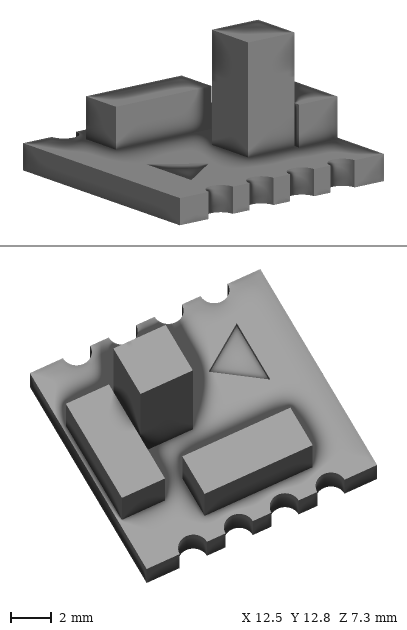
import cadquery as cq

board_width = 12.5
board_length = 12.8
board_thickness = 1.4
overall_height = 7.3

notch_radius = 0.75
notch_pitch = 2.55
notch_count = 4
notch_row_center_y = -0.01

chip_length = 6.0
chip_width = 2.4
chip_height = 2.2
side_chip_center = (-3.7, -0.52)
rear_chip_center = (-0.22, 5.0)
tower_side = 2.9
tower_center = (1.18, 2.19)
tower_height = overall_height - board_thickness

marker_base = 3.6
marker_height = 2.5
marker_center_x = 2.27
marker_base_y = -3.95
marker_depth = 0.25


def make_board():
    return cq.Workplane("XY").box(
        board_width, board_length, board_thickness, centered=(True, True, False)
    )


def make_notches():
    first_y = notch_row_center_y - notch_pitch * (notch_count - 1) / 2
    centers = [
        (side * board_width / 2, first_y + i * notch_pitch)
        for side in (-1, 1)
        for i in range(notch_count)
    ]
    return cq.Workplane("XY").pushPoints(centers).circle(notch_radius).extrude(board_thickness)


def make_component(center, size_x, size_y, height):
    """Block resting on the top face of the board."""
    return (
        cq.Workplane("XY", origin=(0, 0, board_thickness))
        .center(*center)
        .rect(size_x, size_y)
        .extrude(height)
    )


def make_marker():
    return (
        cq.Workplane("XY", origin=(0, 0, board_thickness))
        .moveTo(marker_center_x - marker_base / 2, marker_base_y)
        .lineTo(marker_center_x + marker_base / 2, marker_base_y)
        .lineTo(marker_center_x, marker_base_y + marker_height)
        .close()
        .extrude(-marker_depth)
    )


result = (
    make_board()
    .cut(make_notches())
    .cut(make_marker())
    .union(make_component(side_chip_center, chip_width, chip_length, chip_height))
    .union(make_component(rear_chip_center, chip_length, chip_width, chip_height))
    .union(make_component(tower_center, tower_side, tower_side, tower_height))
)